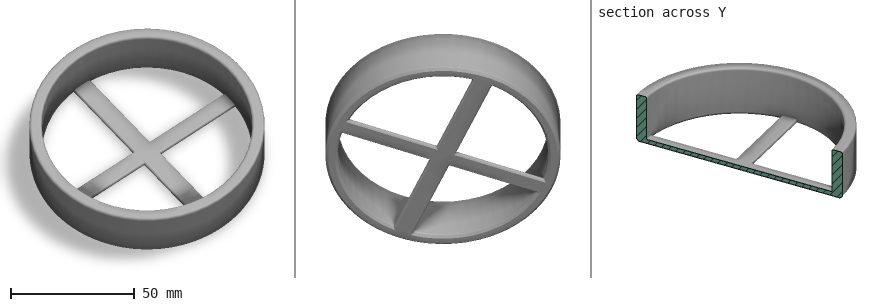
import cadquery as cq

outer_diameter = 95.0
inner_diameter = 85.0
ring_height = 22.0
top_fillet = 1.0

bar_along_x_width = 8.4
bar_along_y_width = 7.1
cross_height = 2.1
cross_fillet = 0.8

ring_bevel = 1.1
cross_bevel = 0.7
bevel_blend = 0.6
selection_margin = 0.01

outer_radius = outer_diameter / 2
inner_radius = inner_diameter / 2
bar_length = outer_radius + inner_radius


def make_ring():
    ring = cq.Workplane("XY").circle(outer_radius).circle(inner_radius).extrude(ring_height)
    return ring.faces(">Z").edges().fillet(top_fillet)


def make_cross():
    bar_along_x = cq.Workplane("XY").rect(bar_length, bar_along_x_width).extrude(cross_height)
    bar_along_y = cq.Workplane("XY").rect(bar_along_y_width, bar_length).extrude(cross_height)
    cross = bar_along_x.union(bar_along_y)
    return cross.faces(">Z").edges("|X or |Y").fillet(cross_fillet)


def bevel_underside(body, bevel):
    beveled = body.faces("<Z").edges().chamfer(bevel)
    at_bevel_top = cq.selectors.BoxSelector(
        (-outer_diameter, -outer_diameter, bevel - selection_margin),
        (outer_diameter, outer_diameter, bevel + selection_margin),
    )
    return beveled.edges(at_bevel_top).fillet(bevel_blend)


ring = bevel_underside(make_ring(), ring_bevel)
cross = bevel_underside(make_cross(), cross_bevel)
result = ring.union(cross)